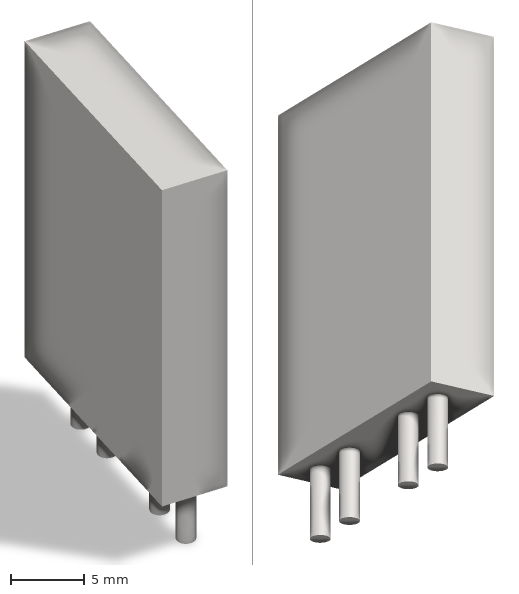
import cadquery as cq

housing_width = 19.92
housing_depth = 5.05
overall_height = 31.52

pin_diameter = 1.42
pin_length = 5.1
pin_pitch = 3.8
pin_row_y = 0.57
pin_slots = (-2, -1, 1, 2)

housing_height = overall_height - pin_length


def make_housing():
    """Plain rectangular block with its underside at Z = 0."""
    return cq.Workplane("XY").box(
        housing_width, housing_depth, housing_height, centered=(True, True, False)
    )


def make_pin(x):
    """Round pin hanging from the underside of the housing."""
    return cq.Workplane("XY").center(x, pin_row_y).circle(pin_diameter / 2).extrude(-pin_length)


housing = make_housing()
pins = [make_pin(slot * pin_pitch) for slot in pin_slots]

result = cq.Compound.makeCompound([housing.val(), *[pin.val() for pin in pins]])